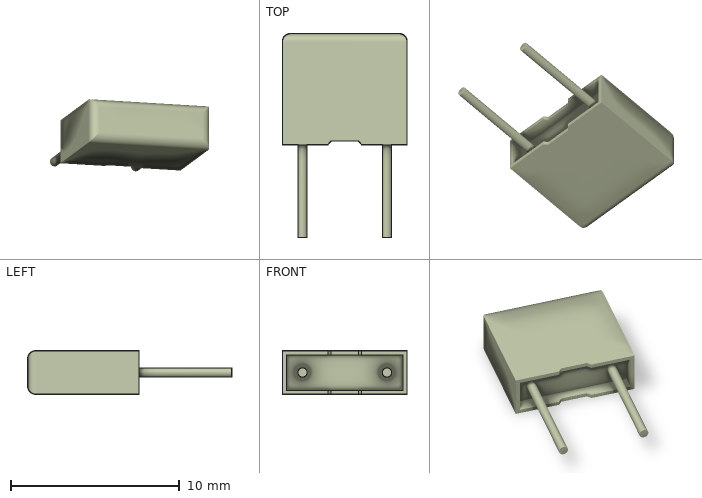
import cadquery as cq


case_width = 7.4
case_depth = 6.6
case_height = 2.6
wall = 0.25
back_edge_radius = 0.5

notch_mouth_width = 2.0
notch_floor_width = 1.6
notch_depth = 0.225

fill_recess = 0.75
cavity_width = case_width - 2 * wall
cavity_height = case_height - 2 * wall
cavity_depth = case_depth - wall

lead_diameter = 0.55
lead_pitch = 5.0
lead_protrusion = 5.5


def block(width, height, y_front, y_back):
    """Box centred on X and Z that spans y_front to y_back."""
    depth = y_back - y_front
    return (
        cq.Workplane("XY")
        .box(width, depth, height, centered=(True, False, True))
        .translate((0, y_front, 0))
    )


def make_notch_cutter():
    """Trapezoid through the full case height, wider at the rim."""
    return (
        cq.Workplane("XY")
        .moveTo(-notch_mouth_width / 2, 0)
        .lineTo(notch_mouth_width / 2, 0)
        .lineTo(notch_floor_width / 2, notch_depth)
        .lineTo(-notch_floor_width / 2, notch_depth)
        .close()
        .extrude(case_height / 2, both=True)
    )


def make_case():
    """Cup with rounded back edges and a notch in each wide wall."""
    shell = block(case_width, case_height, 0, case_depth)
    shell = shell.faces(">Y").edges().fillet(back_edge_radius)
    cavity = block(cavity_width, cavity_height, 0, cavity_depth)
    return shell.cut(cavity).cut(make_notch_cutter())


def make_fill():
    """Resin that fills the cavity up to a recess behind the rim."""
    return block(cavity_width, cavity_height, fill_recess, cavity_depth)


def make_lead(x):
    """Round wire from the fill surface out past the rim."""
    return (
        cq.Workplane("XZ", origin=(x, fill_recess, 0))
        .circle(lead_diameter / 2)
        .extrude(fill_recess + lead_protrusion)
    )


case = make_case()
fill = make_fill()
leads = [make_lead(side * lead_pitch / 2) for side in (-1, 1)]

result = cq.Compound.makeCompound([case.val(), fill.val(), *[lead.val() for lead in leads]])